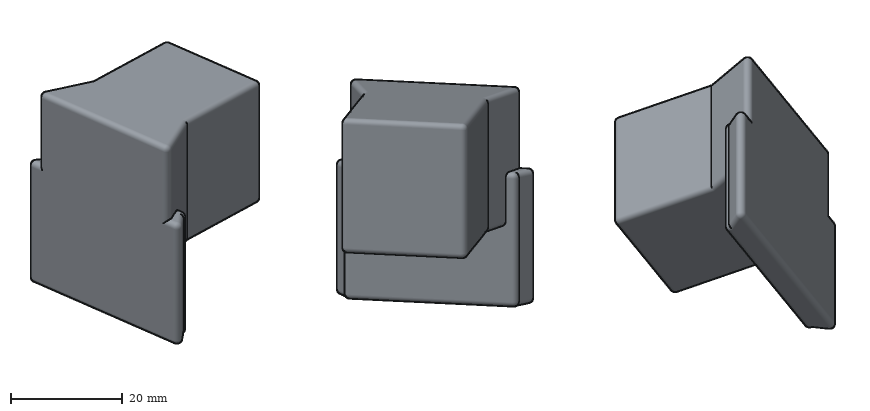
import cadquery as cq

edge_radius = 1.0
total_height = 40.0

block_height = 25.0
block_depth = 30.0
block_width = 23.0
flare_depth = 10.0
flare_front_width = 32.0

plate_height = 25.0
plate_depth = 5.0
plate_front_width = 38.1
plate_back_width = 32.0
rim_margin = 0.02
plate_rim_depth = edge_radius + rim_margin


def flared_block():
    """Upper block, standing on the level where its underside lies."""
    body_half = block_width / 2
    front_half = flare_front_width / 2
    outline = [
        (-front_half, 0),
        (front_half, 0),
        (body_half, flare_depth),
        (body_half, block_depth),
        (-body_half, block_depth),
        (-body_half, flare_depth),
    ]
    underside = total_height - block_height
    return cq.Workplane("XY").workplane(offset=underside).polyline(outline).close().extrude(block_height)


def tapered_plate():
    """Lower plate, flush with the front of the block."""
    front_half = plate_front_width / 2
    back_half = plate_back_width / 2
    rim_start = plate_depth - plate_rim_depth
    outline = [
        (-front_half, 0),
        (front_half, 0),
        (back_half, rim_start),
        (back_half, plate_depth),
        (-back_half, plate_depth),
        (-back_half, rim_start),
    ]
    return cq.Workplane("XY").polyline(outline).close().extrude(plate_height)


def round_outer_edges(body, bend_depth):
    """Round every edge except the two upright inward bends in the side walls."""
    tolerance = 0.005
    edges = body.edges().filter(lambda edge: abs(edge.Center().y - bend_depth) > tolerance)
    return edges.fillet(edge_radius)


rounded_block = round_outer_edges(flared_block(), flare_depth)
rounded_plate = round_outer_edges(tapered_plate(), plate_depth - plate_rim_depth)
result = rounded_block.union(rounded_plate)